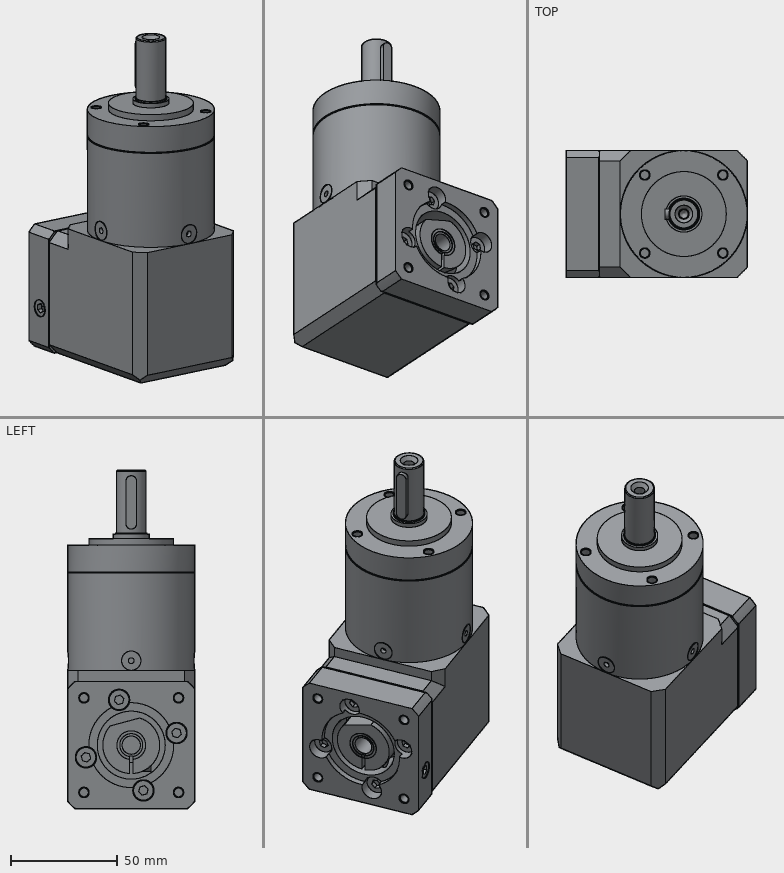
import cadquery as cq
import math

total_height = 159.5
total_length = 85.5
body_width = 60.0
half_width = body_width / 2
body_chamfer = 5.0

step_height = body_width
block_height = 65.0
input_axis_z = half_width
flange_face_x = half_width - total_length
flange_length = 15.8
flange_back_x = flange_face_x + flange_length
flange_turned_radius = 40.0
joint_gap = 0.5
joint_depth = 0.3
cut_margin = 1.6

housing_top = 124.3
housing_seam_z = 111.3
pilot_diameter = 40.0
pilot_top = 127.3
collar_diameter = 17.0
collar_top = 129.4
shaft_diameter = 14.0
shaft_chamfer = 0.5
shaft_base_diameter = 15.0
shaft_base_top = 130.0
center_mouth_diameter = 8.3
center_thread_diameter = 5.0
center_core_diameter = 4.1
center_cone_depth = 1.9
center_thread_depth = 11.2
center_core_depth = 14.4

key_width = 5.0
key_length = 25.2
key_middle_z = 144.3
key_reach = 9.0

port_diameter = 9.1
port_flat_depth = 0.5
port_clearance = 0.2
port_z = block_height + port_clearance + port_diameter / 2
port_hole_diameter = 2.7
port_hole_depth = 2.4

tap_mouth_diameter = 5.0
tap_core_diameter = 4.1
tap_mouth_depth = 0.5
tap_depth = 9.5
output_bolt_circle = 52.0
input_bolt_circle = 63.0

pilot_recess_diameter = 40.0
pilot_recess_depth = 3.0
hub_pocket_diameter = 32.0
hub_pocket_depth = 19.1
hub_diameter = 26.8
hub_face_depth = 3.0
hub_flat_distance = 11.3
slit_overrun = 0.8
pattern_angle = 15.0
hub_boss_diameter = 13.5
hub_boss_height = 0.3
bore_diameter = 8.6
bore_mouth_diameter = 10.8
bore_mouth_depth = 0.5
bore_depth = 28.7
slit_width = 1.6
slit_start = 5.1
slit_step = 8.1
slit_shallow_depth = 1.6
screw_circle = 44.2
screw_bore_diameter = 10.0
screw_bore_depth = 12.8
screw_head_diameter = 9.3
screw_head_depth = 5.0
hex_flats = 4.0
hex_depth = 2.4

clamp_depth = 8.3
clamp_drop = 9.0
clamp_x = flange_face_x + clamp_depth
clamp_z = input_axis_z - clamp_drop
clamp_head_diameter = 7.0
clamp_head_end_y = -9.4
plug_diameter = 8.1
plug_recess = 0.5

boss_face_depth = hub_face_depth - hub_boss_height
hex_corner_diameter = hex_flats / math.cos(math.radians(30))


def disc(diameter, z_low, z_high):
    """Cylinder about the output axis between two heights."""
    return cq.Workplane("XY").workplane(offset=z_low).circle(diameter / 2).extrude(z_high - z_low)


def input_plane(depth):
    """Plane at a depth behind the input face; local x is -Y, local y is +Z, normal is -X."""
    origin = (flange_face_x + depth, 0, input_axis_z)
    return cq.Workplane(cq.Plane(origin=origin, xDir=(0, -1, 0), normal=(-1, 0, 0)))


def input_disc(diameter, near, far):
    """Cylinder along the input axis between two depths behind the input face."""
    return input_plane(far).circle(diameter / 2).extrude(far - near)


def polar_points(circle_diameter, first_angle):
    """Four evenly spaced points on a circle."""
    angles = [math.radians(first_angle + 90 * i) for i in range(4)]
    return [(circle_diameter / 2 * math.cos(a), circle_diameter / 2 * math.sin(a)) for a in angles]


def make_block():
    blank = cq.Workplane("XY").box(body_width, body_width, block_height, centered=(True, True, False))
    column = blank.edges("|Z").chamfer(body_chamfer)
    for bottom_edges in ("|X", "|Y and >X"):
        column = column.intersect(blank.faces("<Z").edges(bottom_edges).chamfer(body_chamfer))
    arm = cq.Workplane("XY").box(-flange_back_x, body_width, step_height, centered=(False, True, False))
    arm = arm.edges("|X").chamfer(body_chamfer).translate((flange_back_x, 0, 0))
    return column.union(arm)


def make_flange():
    plate = input_plane(flange_length).rect(body_width, body_width).extrude(flange_length)
    plate = plate.intersect(input_disc(2 * flange_turned_radius, 0, flange_length))
    gap_width = body_width - 2 * joint_depth
    outside = input_plane(flange_length).rect(body_width + cut_margin, body_width + cut_margin)
    gap = outside.rect(gap_width, gap_width).extrude(joint_gap)
    return plate.cut(gap)


def make_output():
    housing = disc(body_width, input_axis_z, housing_top)
    seam_bottom = housing_seam_z - joint_gap / 2
    seam = disc(body_width + cut_margin, seam_bottom, seam_bottom + joint_gap)
    seam = seam.cut(disc(body_width - 2 * joint_depth, seam_bottom, seam_bottom + joint_gap))
    shaft = disc(shaft_diameter, housing_top, total_height).faces(">Z").chamfer(shaft_chamfer)
    output = housing.cut(seam).union(disc(pilot_diameter, housing_top, pilot_top))
    output = output.union(disc(collar_diameter, housing_top, collar_top))
    output = output.union(disc(shaft_base_diameter, housing_top, shaft_base_top))
    return output.union(shaft)


def make_key():
    plane = cq.Workplane("YZ", origin=(0, 0, key_middle_z))
    return plane.slot2D(key_length, key_width, 90).extrude(-key_reach)


def make_center_hole():
    mouth = center_mouth_diameter / 2
    thread = center_thread_diameter / 2
    core = center_core_diameter / 2
    profile = cq.Workplane("XZ").moveTo(0, total_height).lineTo(mouth, total_height)
    profile = profile.lineTo(thread, total_height - center_cone_depth)
    profile = profile.lineTo(thread, total_height - center_thread_depth)
    profile = profile.lineTo(core, total_height - center_thread_depth)
    profile = profile.lineTo(core, total_height - center_core_depth)
    profile = profile.lineTo(0, total_height - center_core_depth - core).close()
    return profile.revolve(360, (0, 0, 0), (0, 1, 0))


def make_port():
    """Spot face with a small blind hole, on the -X side."""
    plane = cq.Workplane("YZ", origin=(port_flat_depth - half_width, 0, port_z))
    spot = plane.circle(port_diameter / 2).extrude(-2 * port_flat_depth)
    return spot.union(plane.circle(port_hole_diameter / 2).extrude(port_hole_depth))


def tapped_holes(plane, points):
    """Blind holes, sunk below the given outward-facing plane, each with a wider mouth."""
    mouths = plane.pushPoints(points).circle(tap_mouth_diameter / 2).extrude(-tap_mouth_depth)
    cores = plane.pushPoints(points).circle(tap_core_diameter / 2).extrude(-tap_depth)
    return mouths.union(cores)


def make_hub():
    hub = input_disc(hub_diameter, hub_face_depth, hub_pocket_depth)
    cutter_height = hub_diameter
    beyond_flat = cq.Workplane("XY").box(total_length, body_width, cutter_height)
    beyond_flat = beyond_flat.translate((flange_face_x, 0, hub_flat_distance + cutter_height / 2))
    beyond_flat = beyond_flat.rotate((0, 0, 0), (1, 0, 0), -pattern_angle)
    hub = hub.cut(beyond_flat.translate((0, 0, input_axis_z)))
    hub = hub.union(input_disc(hub_boss_diameter, boss_face_depth, hub_face_depth))
    head_plane = cq.Workplane("XZ", origin=(clamp_x, 0, clamp_z))
    return hub.union(head_plane.circle(clamp_head_diameter / 2).extrude(-clamp_head_end_y))


def make_hub_cuts():
    cuts = input_disc(bore_mouth_diameter, boss_face_depth, boss_face_depth + bore_mouth_depth)
    cuts = cuts.union(input_disc(bore_diameter, boss_face_depth, bore_depth))
    slit_end = hub_diameter / 2 + slit_overrun
    slit_parts = (
        (slit_start, slit_end, hub_face_depth + slit_shallow_depth),
        (slit_step, slit_end, hub_pocket_depth),
    )
    for start, end, depth in slit_parts:
        plane = input_plane(depth).center(0, -(start + end) / 2)
        cuts = cuts.union(plane.rect(slit_width, end - start).extrude(depth - boss_face_depth))
    return cuts


def make_screw(angle):
    """Clearance ring and hex socket left around one sunken cap screw."""
    bore = input_disc(screw_bore_diameter, 0, screw_bore_depth)
    head = input_disc(screw_head_diameter, screw_head_depth, screw_bore_depth)
    socket_bottom = screw_head_depth + hex_depth
    socket = input_plane(socket_bottom).polygon(6, hex_corner_diameter).extrude(hex_depth)
    ring = bore.cut(head).union(socket).translate((0, 0, screw_circle / 2))
    return ring.rotate((0, 0, input_axis_z), (1, 0, input_axis_z), -angle)


def make_plug_cuts():
    plane = cq.Workplane("XZ", origin=(clamp_x, -half_width, clamp_z))
    recess = plane.circle(plug_diameter / 2).extrude(-plug_recess)
    socket = plane.transformed(rotate=(0, 0, 90)).polygon(6, hex_corner_diameter)
    return recess.union(socket.extrude(-plug_recess - hex_depth))


result = make_block().union(make_flange()).union(make_output()).union(make_key())
result = result.cut(make_center_hole())
for turn in (0, 90, 180, 270):
    result = result.cut(make_port().rotate((0, 0, 0), (0, 0, 1), turn))
output_face = cq.Workplane("XY", origin=(0, 0, housing_top))
result = result.cut(tapped_holes(output_face, polar_points(output_bolt_circle, 45)))

result = result.cut(input_disc(pilot_recess_diameter, 0, pilot_recess_depth))
result = result.cut(input_disc(hub_pocket_diameter, 0, hub_pocket_depth))
result = result.union(make_hub()).cut(make_hub_cuts())
result = result.cut(tapped_holes(input_plane(0), polar_points(input_bolt_circle, 45)))
for index in range(4):
    result = result.cut(make_screw(pattern_angle + 90 * index))
result = result.cut(make_plug_cuts())